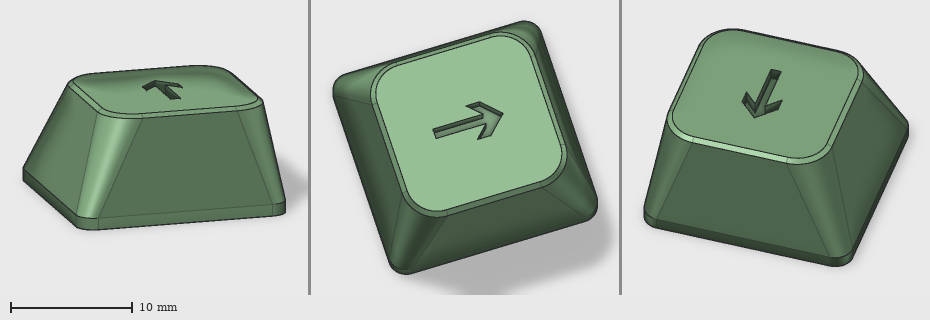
import cadquery as cq

base_side = 18.0
total_height = 9.0

base_radius = 1.5
skirt_height = 1.0

rim_side = 14.15
rim_radius = 3.0
top_offset_y = 0.95
bevel_height = 0.29
bevel_inset = 0.43

arrow_length = 5.94
arrow_head_half_width = 1.55
arrow_shaft_half_width = 0.43
arrow_barb_width = 1.17
arrow_depth = 1.0


def rounded_square(side, radius, height, offset_y=0.0):
    """Rounded square sketch at the given height, shifted along Y."""
    sketch = cq.Sketch().rect(side, side).vertices().fillet(radius)
    return sketch.moved(cq.Location(cq.Vector(0, offset_y, height)))


def tapered_block(lower, upper):
    """Straight-sided loft between two rounded squares."""
    return cq.Workplane("XY").placeSketch(lower, upper).loft(ruled=True)


def keycap_body():
    rim_height = total_height - bevel_height
    top_side = rim_side - 2 * bevel_inset
    top_radius = rim_radius - bevel_inset

    bottom = rounded_square(base_side, base_radius, 0)
    foot = rounded_square(base_side, base_radius, skirt_height)
    rim = rounded_square(rim_side, rim_radius, rim_height, top_offset_y)
    top = rounded_square(top_side, top_radius, total_height, top_offset_y)

    skirt = tapered_block(bottom, foot)
    walls = tapered_block(foot, rim)
    bevel = tapered_block(rim, top)
    return skirt.union(walls).union(bevel)


def arrow_cutter():
    tip_x = -arrow_length / 2
    tail_x = arrow_length / 2
    barb_x = tip_x + arrow_head_half_width
    barb_end_x = barb_x + arrow_barb_width
    notch_x = barb_end_x - (arrow_head_half_width - arrow_shaft_half_width)

    upper_half = [
        (barb_x, arrow_head_half_width),
        (barb_end_x, arrow_head_half_width),
        (notch_x, arrow_shaft_half_width),
        (tail_x, arrow_shaft_half_width),
    ]
    lower_half = [(x, -y) for x, y in reversed(upper_half)]
    outline = [(tip_x, 0)] + upper_half + lower_half
    return (
        cq.Workplane("XY", origin=(0, top_offset_y, total_height))
        .polyline(outline)
        .close()
        .extrude(-arrow_depth)
    )


result = keycap_body().cut(arrow_cutter())